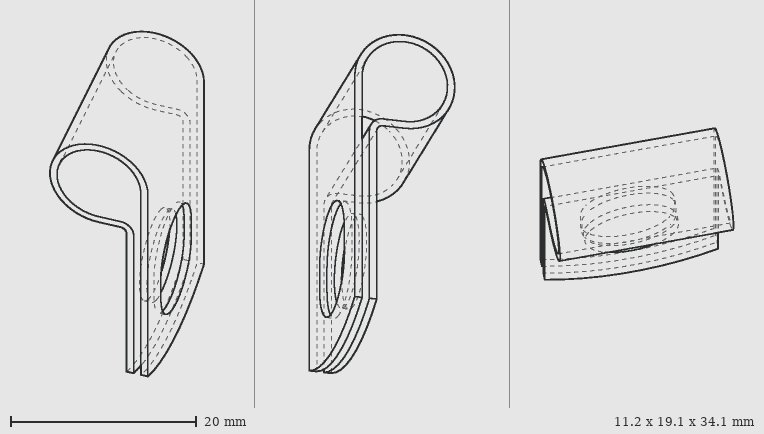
import cadquery as cq
import math

height = 34.12
width = 19.05
loop_diameter = 11.15
thickness = 0.82
leg_gap = 0.82
bend_inner_radius = 0.68
hole_diameter = 10.3
slot_straight = 2.6
hole_depth_from_top = 23.03
end_sagitta = 2.15

loop_radius = loop_diameter / 2
bore_radius = loop_radius - thickness
bottom = loop_radius - height
bend_outer_radius = bend_inner_radius + thickness
front_leg_right = bore_radius - leg_gap
front_leg_left = front_leg_right - thickness
gap_middle = bore_radius - leg_gap / 2
bend_x = front_leg_left - bend_inner_radius
bend_z = -loop_radius - bend_inner_radius
hole_z = loop_radius - hole_depth_from_top


def circle_point(center_x, center_z, radius, degrees):
    angle = math.radians(degrees)
    return (center_x + radius * math.cos(angle), center_z + radius * math.sin(angle))


def make_strip():
    """Bent strip: straight leg, three-quarter loop, small bend and second leg."""
    return (
        cq.Workplane("XZ")
        .moveTo(loop_radius, bottom)
        .lineTo(loop_radius, 0)
        .threePointArc(circle_point(0, 0, loop_radius, 135), (0, -loop_radius))
        .lineTo(bend_x, -loop_radius)
        .threePointArc(
            circle_point(bend_x, bend_z, bend_inner_radius, 45), (front_leg_left, bend_z)
        )
        .lineTo(front_leg_left, bottom)
        .lineTo(front_leg_right, bottom)
        .lineTo(front_leg_right, bend_z)
        .threePointArc(
            circle_point(bend_x, bend_z, bend_outer_radius, 45), (bend_x, -bore_radius)
        )
        .lineTo(0, -bore_radius)
        .threePointArc(circle_point(0, 0, bore_radius, 135), (bore_radius, 0))
        .lineTo(bore_radius, bottom)
        .close()
        .extrude(width / 2, both=True)
    )


def make_side_outline():
    """Block with the rounded lower end, used to trim both legs."""
    corner_z = bottom + end_sagitta
    return (
        cq.Workplane("YZ")
        .moveTo(-width / 2, loop_radius)
        .lineTo(-width / 2, corner_z)
        .threePointArc((0, bottom), (width / 2, corner_z))
        .lineTo(width / 2, loop_radius)
        .close()
        .extrude(loop_radius, both=True)
    )


def make_front_hole():
    """Round hole through the front leg only, ending in the gap between the legs."""
    return (
        cq.Workplane("YZ", origin=(gap_middle, 0, hole_z))
        .circle(hole_diameter / 2)
        .extrude(-loop_diameter)
    )


def make_back_slot():
    """Upright slot through the back leg only, as wide as the round hole."""
    return (
        cq.Workplane("YZ", origin=(gap_middle, 0, hole_z))
        .slot2D(hole_diameter + slot_straight, hole_diameter, 90)
        .extrude(loop_diameter)
    )


strip = make_strip().intersect(make_side_outline())
result = strip.cut(make_front_hole()).cut(make_back_slot())